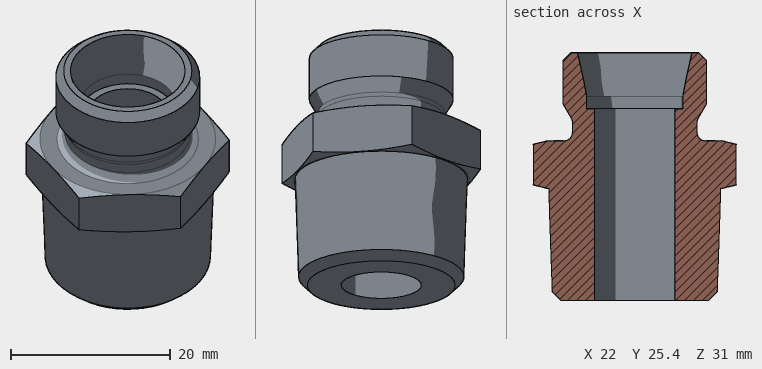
import cadquery as cq
import math

total_height = 31.0
hex_bottom = 13.98
hex_top = 20.0
neck_straight_top = 22.3

hex_across_flats = 22.0
hex_bevel_diameter = 21.98
hex_bevel_angle = math.radians(15)

stub_tip_radius = 10.35
stub_root_radius = 10.8
stub_chamfer = 1.12

collar_radius = 18.0 / 2
collar_chamfer = 1.0
neck_radius = 15.7 / 2
neck_fillet = 1.0
relief_angle = math.radians(30)

bore_radius = 10.0 / 2
counterbore_radius = 12.0 / 2
counterbore_depth = 7.0
seat_mouth_radius = 7.15
seat_half_angle = math.radians(12)


def revolve_profile(profile):
    """Close an (r, z) profile and turn it about the Z axis."""
    return profile.close().revolve(360, (0, 0, 0), (0, 1, 0))


def make_hexagon():
    """Hexagon with flats facing +X and -X and corners bevelled at both ends."""
    height = hex_top - hex_bottom
    corner_diameter = hex_across_flats / math.cos(math.pi / 6)
    prism = (
        cq.Workplane("XY", origin=(0, 0, hex_bottom))
        .polygon(6, corner_diameter)
        .extrude(height)
        .rotate((0, 0, 0), (0, 0, 1), 30)
    )
    bevel_radius = hex_bevel_diameter / 2
    corner_radius = corner_diameter / 2
    bevel_drop = (corner_radius - bevel_radius) * math.tan(hex_bevel_angle)
    envelope = revolve_profile(
        cq.Workplane("XZ")
        .moveTo(0, hex_bottom)
        .lineTo(bevel_radius, hex_bottom)
        .lineTo(corner_radius, hex_bottom + bevel_drop)
        .lineTo(corner_radius, hex_top - bevel_drop)
        .lineTo(bevel_radius, hex_top)
        .lineTo(0, hex_top)
    )
    return prism.intersect(envelope)


def make_stub():
    """Tapered lower stub with a chamfered tip."""
    return revolve_profile(
        cq.Workplane("XZ")
        .lineTo(stub_tip_radius - stub_chamfer, 0)
        .lineTo(stub_tip_radius, stub_chamfer)
        .lineTo(stub_root_radius, hex_bottom)
        .lineTo(0, hex_bottom)
    )


def make_collar():
    """Neck blended into the hexagon, flaring out to the chamfered collar."""
    arc_center_r = neck_radius + neck_fillet
    diagonal = neck_fillet * math.sin(math.pi / 4)
    half_relief = relief_angle / 2
    flare_r = arc_center_r - neck_fillet * math.cos(relief_angle)
    flare_z = neck_straight_top + neck_fillet * math.sin(relief_angle)
    collar_bottom = flare_z + (collar_radius - flare_r) / math.tan(relief_angle)
    return revolve_profile(
        cq.Workplane("XZ")
        .moveTo(0, hex_top)
        .lineTo(arc_center_r, hex_top)
        .threePointArc(
            (arc_center_r - diagonal, hex_top + neck_fillet - diagonal),
            (neck_radius, hex_top + neck_fillet),
        )
        .lineTo(neck_radius, neck_straight_top)
        .threePointArc(
            (
                arc_center_r - neck_fillet * math.cos(half_relief),
                neck_straight_top + neck_fillet * math.sin(half_relief),
            ),
            (flare_r, flare_z),
        )
        .lineTo(collar_radius, collar_bottom)
        .lineTo(collar_radius, total_height - collar_chamfer)
        .lineTo(collar_radius - collar_chamfer, total_height)
        .lineTo(0, total_height)
    )


def make_bore():
    """Through bore, counterbore and conical seat, as one cutting body."""
    shoulder = total_height - counterbore_depth
    seat_depth = (seat_mouth_radius - counterbore_radius) / math.tan(seat_half_angle)
    return revolve_profile(
        cq.Workplane("XZ")
        .lineTo(bore_radius, 0)
        .lineTo(bore_radius, shoulder)
        .lineTo(counterbore_radius, shoulder)
        .lineTo(counterbore_radius, total_height - seat_depth)
        .lineTo(seat_mouth_radius, total_height)
        .lineTo(0, total_height)
    )


body = make_stub().union(make_hexagon()).union(make_collar())
result = body.cut(make_bore())